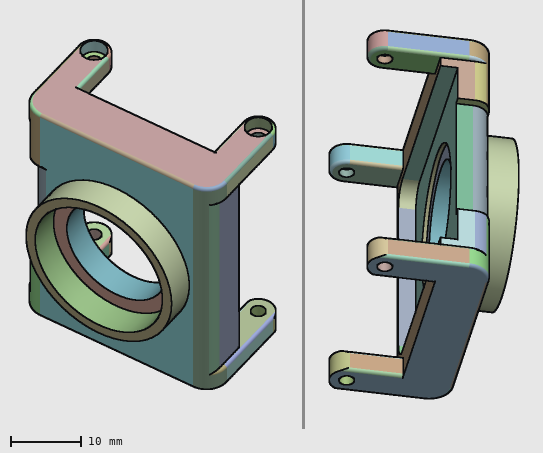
import cadquery as cq

width = 33.2
height = 40.0
depth = 17.8
wall = 7.55
arm_width = 5.05
arm_height = 3.5
corner_radius = 3.5
edge_round = 0.5

side_inset = 0.65
inset_corner_radius = 2.8
inset_arc_start = 2.55

notch_inset = 1.95
notch_height = 19.45
pocket_floor = 5.05
notch_corner_radius = 2.55
pocket_height = 30.15
pocket_corner_radius = 2.95
pocket_right = pocket_height / 2

collar_length = 4.5
collar_diameter = 25.0
bore_diameter = 17.05
seat_mouth_diameter = 21.85
seat_floor_diameter = 21.6
seat_depth = collar_length
relief_diameter = seat_floor_diameter
relief_depth = 0.65

screw_diameter = 2.2
head_diameter = 3.9
head_depth = 2.15

half_width = width / 2
half_height = height / 2
tip_radius = arm_width / 2
tip_x = half_width - tip_radius
tip_y = depth - tip_radius
inset_height = height - 2 * arm_height
plate_height = inset_height + 2 * edge_round
tolerance = 0.005


def box(x0, x1, y0, y1, z0, z1):
    """Box between two opposite corners."""
    return cq.Workplane("XY").box(x1 - x0, y1 - y0, z1 - z0, centered=False).translate((x0, y0, z0))


def flange(bottom):
    """U-shaped end plate with two square-ended arms and rounded front corners."""
    plate = box(-half_width, half_width, 0, depth, bottom, bottom + arm_height)
    plate = plate.edges("|Z and <Y").fillet(corner_radius)
    inner = half_width - arm_width
    return plate.cut(box(-inner, inner, wall, depth, bottom, bottom + arm_height))


def round_tips(plate):
    """Trim square arm ends to half circles."""
    for side in (-1, 1):
        end = box(-tip_radius, tip_radius, 0, tip_radius, -half_height, half_height)
        end = end.cut(cq.Workplane("XY").circle(tip_radius).extrude(height, both=True))
        plate = plate.cut(end.translate((side * tip_x, tip_y, 0)))
    return plate


def round_long_edges(plate, tips):
    """Round the outline above and below, except the back wall edge; tips selects the arm ends too."""
    inner = half_width - arm_width
    selected = []
    for edge in plate.faces("<Z or >Z").edges().vals():
        middle = edge.positionAt(0.5)
        on_back = abs(middle.y - wall) < tolerance and abs(middle.x) < inner
        on_square_tip = not tips and middle.y > depth - tolerance
        if not on_back and not on_square_tip:
            selected.append(edge)
    return plate.newObject(selected).fillet(edge_round)


def left_side_cutter(inset, arc_start, radius, z_size):
    """Material outside a left face that curves into the front with the given radius."""
    x_face = -half_width + inset
    x_center = x_face + radius
    y_front = arc_start - radius
    outside = box(-half_width, x_center, y_front, wall, -z_size / 2, z_size / 2)
    straight = box(x_face, x_center, arc_start, wall, -z_size / 2, z_size / 2)
    corner = cq.Workplane("XY").center(x_center, arc_start).circle(radius).extrude(z_size / 2, both=True)
    return outside.cut(straight).cut(corner)


upper = round_long_edges(round_tips(flange(half_height - arm_height)), True)
lower = round_tips(round_long_edges(flange(-half_height), False))

plate = box(-half_width, half_width, 0, wall, -plate_height / 2, plate_height / 2)
plate = plate.edges("|Z and <Y").fillet(corner_radius)
side_cutter = left_side_cutter(side_inset, inset_arc_start, inset_corner_radius, plate_height)
plate = plate.cut(side_cutter).cut(side_cutter.mirror("YZ"))
body = plate.union(upper).union(lower)

body = body.cut(left_side_cutter(notch_inset, inset_arc_start, notch_corner_radius, notch_height))
pocket = box(-half_width, pocket_right, pocket_floor, wall, -pocket_height / 2, pocket_height / 2)
body = body.cut(pocket.edges("|Y and >X").fillet(pocket_corner_radius))

body = body.union(cq.Workplane("XZ").circle(collar_diameter / 2).extrude(collar_length))
front = cq.Workplane("XZ", origin=(0, -collar_length, 0))
seat = cq.Solid.makeCone(
    seat_mouth_diameter / 2,
    seat_floor_diameter / 2,
    seat_depth,
    pnt=cq.Vector(0, -collar_length, 0),
    dir=cq.Vector(0, 1, 0),
)
body = body.cut(cq.Workplane(obj=seat))
body = body.cut(front.circle(bore_diameter / 2).extrude(-collar_length - wall))
relief = cq.Workplane("XZ", origin=(0, pocket_floor, 0)).circle(relief_diameter / 2)
body = body.cut(relief.extrude(relief_depth))

tips = [(-tip_x, tip_y), (tip_x, tip_y)]
body = body.cut(cq.Workplane("XY").pushPoints(tips).circle(screw_diameter / 2).extrude(height, both=True))
heads = cq.Workplane("XY", origin=(0, 0, half_height)).pushPoints(tips)
result = body.cut(heads.circle(head_diameter / 2).extrude(-head_depth))